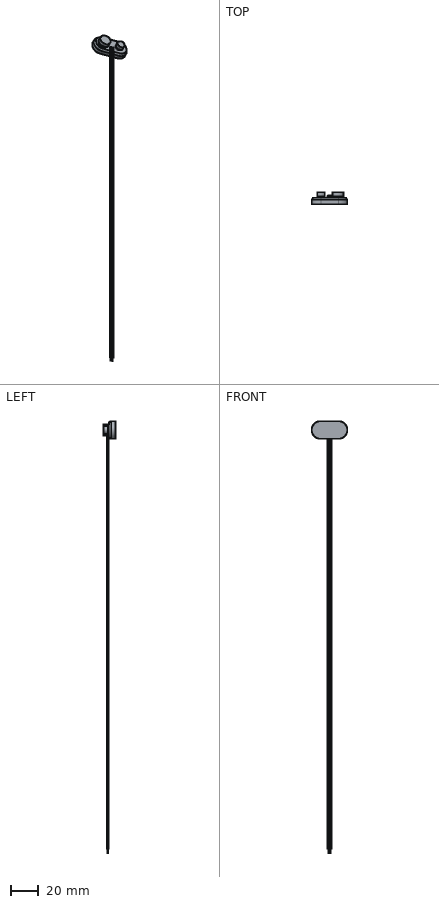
import cadquery as cq

total_height = 314.5
total_depth = 8.8

head_width = 26.0
head_height = head_width / 2
head_side_depth = 3.0
rim_chamfer_depth = 1.75
rim_chamfer_inset = 1.0
head_thickness = head_side_depth + rim_chamfer_depth

boss_height = 1.0

stud_spacing = 12.3
pin_diameter = 5.7
button_diameter = 8.2

sheath_diameter = 1.5
core_diameter = 0.47
bare_length = 3.5
sheath_overlap = 3.5

stud_offset = stud_spacing / 2
front_y = -total_depth / 2
back_y = front_y + head_thickness
boss_top_y = back_y + boss_height
rear_y = total_depth / 2
stud_length = rear_y - boss_top_y
head_centre_z = total_height - head_height / 2
sheath_top_z = total_height - head_height + sheath_overlap
wire_y = back_y + sheath_diameter / 2


def disc(x, y, diameter, thickness):
    """A round disc on the head's height centre, reaching back (+Y) from y."""
    plane = cq.Workplane("XZ", origin=(x, y, head_centre_z))
    return plane.circle(diameter / 2).extrude(-thickness)


def make_head():
    """The obround plate with its chamfered back rim and both bosses."""
    plate = (
        cq.Workplane("XZ", origin=(0, front_y, head_centre_z))
        .slot2D(head_width, head_height)
        .extrude(-head_thickness)
        .faces(">Y")
        .chamfer(rim_chamfer_depth, rim_chamfer_inset)
    )
    pin_boss = disc(-stud_offset, back_y, pin_diameter, boss_height)
    button_boss = disc(stud_offset, back_y, button_diameter, boss_height)
    return plate.union(pin_boss).union(button_boss)


def make_pin():
    """The slim round stud on the left boss."""
    return disc(-stud_offset, boss_top_y, pin_diameter, stud_length)


def make_button():
    """The wider round stud on the right boss."""
    return disc(stud_offset, boss_top_y, button_diameter, stud_length)


def make_sheath(x):
    """One wire's insulation: a long tube that stops short of the bare lower end."""
    return (
        cq.Workplane("XY", origin=(x, wire_y, bare_length))
        .circle(sheath_diameter / 2)
        .circle(core_diameter / 2)
        .extrude(sheath_top_z - bare_length)
    )


def make_core(x):
    """One wire's conductor: fills its sheath and sticks out bare below it."""
    return cq.Workplane("XY", origin=(x, wire_y, 0)).circle(core_diameter / 2).extrude(sheath_top_z)


head = make_head()
pin = make_pin()
button = make_button()

sheaths = []
cores = []
for side in (-1, 1):
    wire_x = side * sheath_diameter / 2
    sheaths.append(make_sheath(wire_x).val())
    cores.append(make_core(wire_x).val())

result = cq.Compound.makeCompound([head.val(), pin.val(), button.val(), *sheaths, *cores])